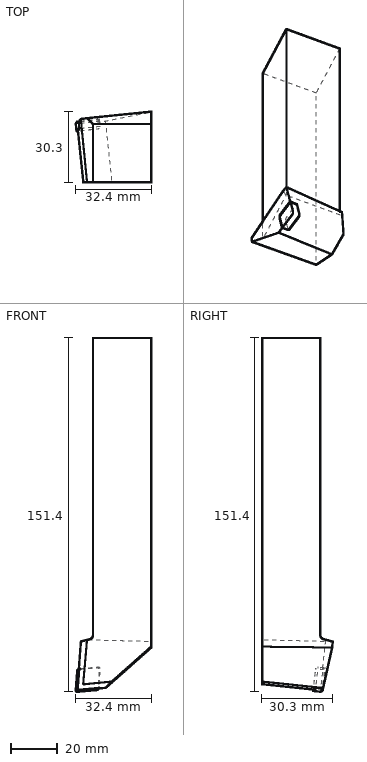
import cadquery as cq
import math

shank_size = 25.0
tool_length = 151.35

side_rake = 6.0
back_rake = 6.0

inscribed_diameter = 9.525
insert_thickness = 3.18
insert_rise = 0.3
nose_angle = 80.0
nose_radius = 0.8
edge_relief = (90.0 - nose_angle) / 2
insert_edge = inscribed_diameter / math.sin(math.radians(nose_angle))

nose_x = -7.41
nose_y = 24.64
nose_z = -0.05

side_setback = 0.6
end_setback = 0.6
end_flank_length = 12.3
head_nose_radius = 0.4
clearance_angle = 41.2
clearance_length = 40.0
head_height = 30.0
head_depth = 40.0

shoulder_z = 22.95
shoulder_slope = 15.0
shoulder_fillet = 1.6
shoulder_reach = 15.0
base_z = -10.0

rake_plane = cq.Plane(
    origin=(nose_x, nose_y, nose_z),
    xDir=(1, math.tan(math.radians(side_rake)), 0),
    normal=(math.tan(math.radians(side_rake)), -1, math.tan(math.radians(back_rake))),
)


def step(point, angle, length):
    """Point reached from another by going a length along an angle in degrees."""
    turn = math.radians(angle)
    return (point[0] + length * math.cos(turn), point[1] + length * math.sin(turn))


def make_insert():
    nose = (0, 0)
    end_corner = step(nose, edge_relief, insert_edge)
    side_corner = step(nose, 90 - edge_relief, insert_edge)
    far_corner = step(end_corner, 90 - edge_relief, insert_edge)
    blank = (
        cq.Workplane(rake_plane)
        .workplane(offset=-insert_rise)
        .polyline([nose, end_corner, far_corner, side_corner])
        .close()
        .extrude(insert_thickness)
    )
    upright_edges = cq.selectors.ParallelDirSelector(rake_plane.zDir)
    return blank.edges(upright_edges).fillet(nose_radius).solids()


def shoulder_profile(plane):
    """Outline below the shoulder: 0 is the shank face, negative is outward of it."""
    slope = math.radians(shoulder_slope)
    tangent = shoulder_fillet * math.tan((math.pi / 2 - slope) / 2)
    center = (-shoulder_fillet, shoulder_z + tangent)
    fillet_start = (0, center[1])
    fillet_middle = step(center, (shoulder_slope - 90) / 2, shoulder_fillet)
    fillet_end = step(center, shoulder_slope - 90, shoulder_fillet)
    outer_z = shoulder_z - shoulder_reach * math.tan(slope)
    return (
        cq.Workplane(plane)
        .moveTo(shank_size, base_z)
        .lineTo(shank_size, fillet_start[1])
        .lineTo(*fillet_start)
        .threePointArc(fillet_middle, fillet_end)
        .lineTo(-shoulder_reach, outer_z)
        .lineTo(-shoulder_reach, base_z)
        .close()
    )


def make_shoulder():
    width = shank_size + shoulder_reach
    side_plane = cq.Plane(origin=(0, 0, 0), xDir=(1, 0, 0), normal=(0, -1, 0))
    back_plane = cq.Plane(origin=(shank_size, shank_size, 0), xDir=(0, -1, 0), normal=(-1, 0, 0))
    side_slope = shoulder_profile(side_plane).extrude(-width)
    back_slope = shoulder_profile(back_plane).extrude(width)
    return side_slope.intersect(back_slope)


def make_head():
    nose_sine = math.sin(math.radians(nose_angle))
    on_end_edge = step((0, 0), edge_relief, side_setback / nose_sine)
    corner = step(on_end_edge, 90 - edge_relief, end_setback / nose_sine)
    end_flank_end = step(corner, edge_relief, end_flank_length)
    clearance_end = step(end_flank_end, clearance_angle, clearance_length)
    side_flank_end = step(corner, 90 - edge_relief, head_height)
    block = (
        cq.Workplane(rake_plane)
        .polyline([corner, end_flank_end, clearance_end, side_flank_end])
        .close()
        .extrude(head_depth)
    )
    edge_middle = rake_plane.toWorldCoords((*corner, head_depth / 2))
    nose_edge = cq.selectors.NearestToPointSelector(edge_middle)
    return block.edges(nose_edge).fillet(head_nose_radius).intersect(make_shoulder())


def make_holder(insert):
    head = make_head()
    shank = (
        cq.Workplane("XY", origin=(0, 0, shoulder_z))
        .rect(shank_size, shank_size, centered=False)
        .extrude(tool_length - shoulder_z)
    )
    return shank.union(head).cut(insert).solids()


insert = make_insert()
holder = make_holder(insert)

result = cq.Compound.makeCompound([holder.val(), insert.val()])